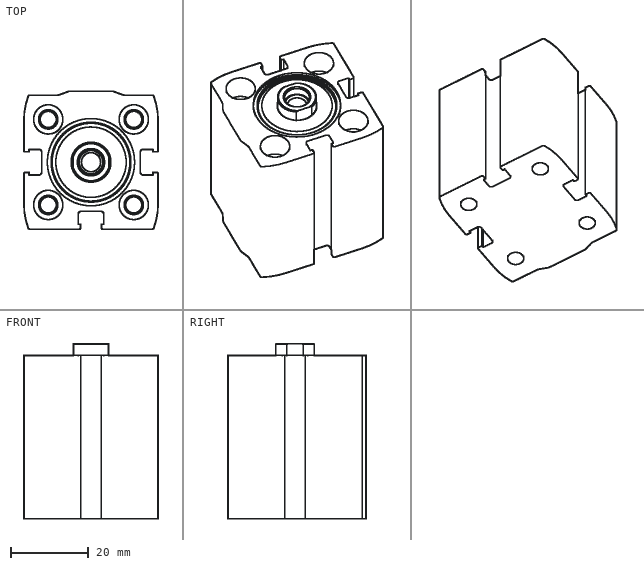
import cadquery as cq
import math

TOTAL_HEIGHT = 45.0
ROD_PROTRUSION = 3.0
HOUSING_HEIGHT = TOTAL_HEIGHT - ROD_PROTRUSION
WIDTH = 34.5
HALF_WIDTH = WIDTH / 2
HALF_DEPTH = 17.25
FLAT_SIDE_HALF = 10.65
SIDE_ARC_RADIUS = 18.0
CORNER_FILLET = 0.55

PAD_RISE = 1.05
PAD_TOP_HALF = 5.6
PAD_BASE_HALF = 8.32
PAD_BLEND = 1.8

SLOT_MOUTH_WIDTH = 5.25
SLOT_INNER_WIDTH = 6.5
SLOT_LIP = 1.35
SLOT_DEPTH = 4.6
SLOT_FLOOR_FILLET = 0.68
SLOT_MOUTH_FILLET = 0.4

MOUNT_OFFSET = 11.0
MOUNT_BORE = 4.15
MOUNT_CHAMFER_DIAMETER = 4.95
MOUNT_COUNTERBORE = 7.5
MOUNT_COUNTERBORE_DEPTH = 7.0

GROOVE_OUTER_RADIUS = 22.4 / 2
GROOVE_DEPTH = 0.75
RIDGE_RADIUS = 10.25
RIDGE_DROP = 0.22
BORE_RADIUS = 20.0 / 2
BORE_CHAMFER_DROP = 0.25
COVER_EDGE_DEPTH = 0.9
COVER_BEVEL_RADIUS = 9.35
COVER_FACE_RADIUS = 9.05
COVER_BEVEL_DROP = 0.4
COVER_FACE_DROP = 0.25
ROD_HOLE_CHAMFER = 0.15

ROD_RADIUS = 10.0 / 2
ROD_LENGTH = 27.0
ROD_CHAMFER = 0.22
FLAT_HALF_WIDTH = 4.5
FLAT_LENGTH = 4.5
THREAD_MOUTH_RADIUS = 3.5
THREAD_COUNTERBORE_RADIUS = 6.4 / 2
THREAD_COUNTERBORE_DEPTH = 2.48
THREAD_LEDGE_RADIUS = 3.0
THREAD_CORE_RADIUS = 4.9 / 2
THREAD_CORE_DEPTH = 11.7
DRILL_TIP_ANGLE = 31.0
DRILL_TIP_SLOPE = math.tan(math.radians(DRILL_TIP_ANGLE))


def revolve_profile(points):
    """Closed (radius, height) outline turned about the Z axis."""
    return cq.Workplane("XZ").polyline(points).close().revolve(360, (0, 0, 0), (0, 1, 0))


def housing_block():
    """Extruded housing outline with bowed sides and a raised pad on +Y."""
    arc_centre_x = HALF_WIDTH - SIDE_ARC_RADIUS

    def arc_x(y):
        return arc_centre_x + math.sqrt(SIDE_ARC_RADIUS**2 - (y - FLAT_SIDE_HALF) ** 2)

    corner = (arc_x(HALF_DEPTH), HALF_DEPTH)
    arc_mid_y = (FLAT_SIDE_HALF + HALF_DEPTH) / 2
    arc_mid = (arc_x(arc_mid_y), arc_mid_y)
    pad_y = HALF_DEPTH + PAD_RISE
    block = (
        cq.Workplane("XY")
        .moveTo(-corner[0], -corner[1])
        .lineTo(corner[0], -corner[1])
        .threePointArc((arc_mid[0], -arc_mid[1]), (HALF_WIDTH, -FLAT_SIDE_HALF))
        .lineTo(HALF_WIDTH, FLAT_SIDE_HALF)
        .threePointArc(arc_mid, corner)
        .lineTo(PAD_BASE_HALF, HALF_DEPTH)
        .lineTo(PAD_TOP_HALF, pad_y)
        .lineTo(-PAD_TOP_HALF, pad_y)
        .lineTo(-PAD_BASE_HALF, HALF_DEPTH)
        .lineTo(-corner[0], corner[1])
        .threePointArc((-arc_mid[0], arc_mid[1]), (-HALF_WIDTH, FLAT_SIDE_HALF))
        .lineTo(-HALF_WIDTH, -FLAT_SIDE_HALF)
        .threePointArc((-arc_mid[0], -arc_mid[1]), (-corner[0], -corner[1]))
        .close()
        .extrude(HOUSING_HEIGHT)
    )
    mid_height = HOUSING_HEIGHT / 2
    for x in (-corner[0], corner[0]):
        for y in (-corner[1], corner[1]):
            block = block.edges(cq.NearestToPointSelector((x, y, mid_height))).fillet(CORNER_FILLET)
    for side in (-1, 1):
        for x, y in ((PAD_BASE_HALF, HALF_DEPTH), (PAD_TOP_HALF, pad_y)):
            block = block.edges(cq.NearestToPointSelector((side * x, y, mid_height))).fillet(PAD_BLEND)
    return block


def slot_cutter(face_distance, angle):
    """Full-height T-slot cutter, opening outward at face_distance, turned about Z from +X."""
    inner_depth = SLOT_DEPTH - SLOT_LIP
    chamber = (
        cq.Workplane("XY")
        .center(face_distance - SLOT_LIP - inner_depth / 2, 0)
        .rect(inner_depth, SLOT_INNER_WIDTH)
        .extrude(HOUSING_HEIGHT)
        .edges("|Z and <X")
        .fillet(SLOT_FLOOR_FILLET)
    )
    half_mouth = SLOT_MOUTH_WIDTH / 2
    flared_half = half_mouth + SLOT_MOUTH_FILLET
    flare_start = face_distance - SLOT_MOUTH_FILLET
    chamber_outer = face_distance - SLOT_LIP
    mouth = (
        cq.Workplane("XY")
        .moveTo(chamber_outer, -half_mouth)
        .lineTo(flare_start, -half_mouth)
        .radiusArc((face_distance, -flared_half), SLOT_MOUTH_FILLET)
        .lineTo(face_distance, flared_half)
        .radiusArc((flare_start, half_mouth), SLOT_MOUTH_FILLET)
        .lineTo(chamber_outer, half_mouth)
        .close()
        .extrude(HOUSING_HEIGHT)
    )
    return chamber.union(mouth).rotate((0, 0, 0), (0, 0, 1), angle)


def mounting_hole_cutter():
    """Counterbored through hole with a chamfered inner mouth."""
    counterbore_radius = MOUNT_COUNTERBORE / 2
    chamfer_radius = MOUNT_CHAMFER_DIAMETER / 2
    bore_radius = MOUNT_BORE / 2
    floor = HOUSING_HEIGHT - MOUNT_COUNTERBORE_DEPTH
    return revolve_profile([
        (0, 0),
        (bore_radius, 0),
        (bore_radius, floor - (chamfer_radius - bore_radius)),
        (chamfer_radius, floor),
        (counterbore_radius, floor),
        (counterbore_radius, HOUSING_HEIGHT),
        (0, HOUSING_HEIGHT),
    ])


def face_recess_cutter():
    """Outer V groove, bore edge, and the bevelled, slightly sunk cover face with its rod hole chamfer."""
    top = HOUSING_HEIGHT
    face = top - COVER_FACE_DROP
    return revolve_profile([
        (0, top),
        (GROOVE_OUTER_RADIUS, top),
        (GROOVE_OUTER_RADIUS, top - GROOVE_DEPTH),
        (RIDGE_RADIUS, top - RIDGE_DROP),
        (BORE_RADIUS, top - RIDGE_DROP - BORE_CHAMFER_DROP),
        (BORE_RADIUS, top - COVER_EDGE_DEPTH),
        (COVER_BEVEL_RADIUS, top - COVER_BEVEL_DROP),
        (COVER_FACE_RADIUS, face),
        (ROD_RADIUS + ROD_HOLE_CHAMFER, face),
        (ROD_RADIUS, face - ROD_HOLE_CHAMFER),
        (0, face - ROD_HOLE_CHAMFER),
    ])


def make_housing():
    housing = housing_block()
    for face_distance, angle in ((HALF_WIDTH, 0), (HALF_WIDTH, 180), (HALF_DEPTH, -90)):
        housing = housing.cut(slot_cutter(face_distance, angle))
    for x in (-MOUNT_OFFSET, MOUNT_OFFSET):
        for y in (-MOUNT_OFFSET, MOUNT_OFFSET):
            housing = housing.cut(mounting_hole_cutter().translate((x, y, 0)))
    rod_hole = (
        cq.Workplane("XY")
        .workplane(offset=TOTAL_HEIGHT - ROD_LENGTH)
        .circle(ROD_RADIUS)
        .extrude(ROD_LENGTH)
    )
    return housing.cut(face_recess_cutter()).cut(rod_hole)


def wrench_flat_cutter():
    """Cutter for the +X flat, running out to the full rod radius on a 45 degree ramp."""
    flat_bottom = TOTAL_HEIGHT - FLAT_LENGTH
    ramp = ROD_RADIUS - FLAT_HALF_WIDTH
    return (
        cq.Workplane("XZ")
        .moveTo(FLAT_HALF_WIDTH, TOTAL_HEIGHT)
        .lineTo(FLAT_HALF_WIDTH, flat_bottom)
        .lineTo(ROD_RADIUS, flat_bottom - ramp)
        .lineTo(ROD_RADIUS, TOTAL_HEIGHT)
        .close()
        .extrude(ROD_RADIUS, both=True)
    )


def thread_hole_cutter():
    """Blind threaded hole with chamfered mouth, counterbore, countersink and drill tip."""
    top = TOTAL_HEIGHT
    mouth_drop = THREAD_MOUTH_RADIUS - THREAD_COUNTERBORE_RADIUS
    ledge = top - THREAD_COUNTERBORE_DEPTH
    countersink_drop = THREAD_LEDGE_RADIUS - THREAD_CORE_RADIUS
    core_end = top - THREAD_CORE_DEPTH
    return revolve_profile([
        (0, top),
        (THREAD_MOUTH_RADIUS, top),
        (THREAD_COUNTERBORE_RADIUS, top - mouth_drop),
        (THREAD_COUNTERBORE_RADIUS, ledge),
        (THREAD_LEDGE_RADIUS, ledge),
        (THREAD_CORE_RADIUS, ledge - countersink_drop),
        (THREAD_CORE_RADIUS, core_end),
        (0, core_end - THREAD_CORE_RADIUS * DRILL_TIP_SLOPE),
    ])


def make_rod():
    rod = (
        cq.Workplane("XY")
        .workplane(offset=TOTAL_HEIGHT - ROD_LENGTH)
        .circle(ROD_RADIUS)
        .extrude(ROD_LENGTH)
        .faces(">Z")
        .chamfer(ROD_CHAMFER)
    )
    for angle in (0, 180):
        rod = rod.cut(wrench_flat_cutter().rotate((0, 0, 0), (0, 0, 1), angle))
    return rod.cut(thread_hole_cutter())


housing = make_housing()
piston_rod = make_rod()
result = cq.Compound.makeCompound([housing.val(), piston_rod.val()])